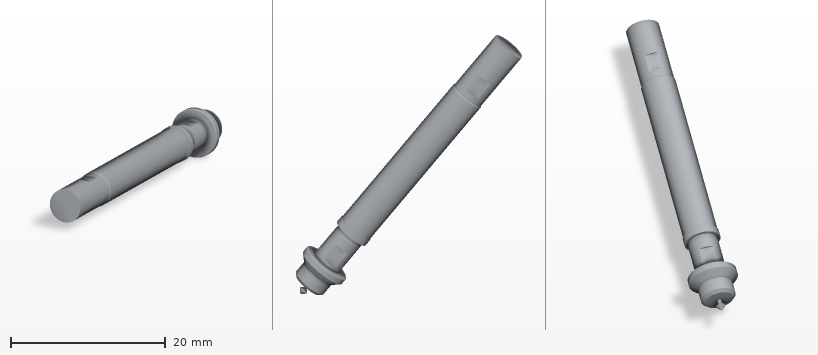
import cadquery as cq
import math

total_length = 43.0

flange_radius = 3.25
collar_radius = 2.4
barrel_radius = 2.3
tail_radius = 2.2
neck_radius = 2.0
relief_radius = 1.96
needle_tip_radius = 0.08
needle_head_radius = 0.62
needle_stem_radius = 0.25

needle_head_widest = 0.6
needle_head_back = 0.95
cap_front = 1.5
flange_front = 4.55
cone_front = flange_front - (flange_radius - barrel_radius)
flange_back = 5.45
relief_front = 10.0
collar_front = 10.5
collar_back = 11.45
barrel_back = 34.5

cap_chamfer = 0.4
edge_chamfer = 0.1
relief_taper = 0.1

flat_length = 2.5
flat_width = 1.94
neck_flat_front = 6.0
tail_flat_front = 35.5


def build_turned_body():
    """Revolve the half profile, listed from tip to tail, about the Y axis."""
    stations = [
        (0, 0),
        (needle_tip_radius, 0),
        (needle_head_radius, needle_head_widest),
        (needle_stem_radius, needle_head_back),
        (needle_stem_radius, cap_front),
        (barrel_radius - cap_chamfer, cap_front),
        (barrel_radius, cap_front + cap_chamfer),
        (barrel_radius, cone_front),
        (flange_radius, flange_front),
        (flange_radius, flange_back - edge_chamfer),
        (flange_radius - edge_chamfer, flange_back),
        (neck_radius, flange_back),
        (neck_radius, relief_front - relief_taper),
        (relief_radius, relief_front),
        (relief_radius, collar_front),
        (collar_radius, collar_front),
        (collar_radius, collar_back),
        (barrel_radius, collar_back),
        (barrel_radius, barrel_back - edge_chamfer),
        (tail_radius, barrel_back),
        (tail_radius, total_length),
        (0, total_length),
    ]
    profile = [(radius, total_length - station) for radius, station in stations]
    return cq.Workplane("XY").polyline(profile).close().revolve(360, (0, 0, 0), (0, 1, 0))


def cut_flat_pair(body, front_station, radius):
    """Cut opposite flats, facing +Z and -Z, into a round stretch of the given radius."""
    flat_height = math.sqrt(radius**2 - (flat_width / 2) ** 2)
    center_y = total_length - front_station - flat_length / 2
    for side in (1, -1):
        cutter = cq.Workplane("XY").box(2 * radius, flat_length, radius)
        cutter = cutter.translate((0, center_y, side * (flat_height + radius / 2)))
        body = body.cut(cutter)
    return body


result = build_turned_body()
result = cut_flat_pair(result, neck_flat_front, neck_radius)
result = cut_flat_pair(result, tail_flat_front, tail_radius)